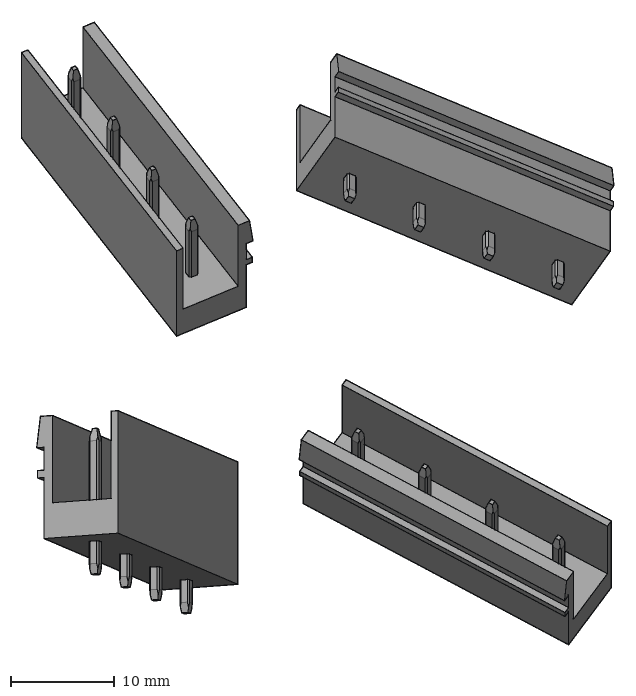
import cadquery as cq

housing_length = 30.28
housing_height = 12.02
housing_depth = 7.75
floor_thickness = 3.45
front_wall = 0.73
back_wall = 0.9

latch_bottom = 8.95
latch_reach = 0.75
latch_top_reach = 0.35

rib_bottom = 6.0
rib_thickness = 0.73
rib_reach = 0.67

pin_count = 4
pin_pitch = 7.63
first_pin_offset = 3.6
pin_y = 3.85
pin_width = 1.03
pin_edge_chamfer = 0.18
pin_top = 11.1
pin_bottom = -3.18
top_taper_length = 1.27
top_tip_width = 0.45
bottom_taper_length = 0.97
bottom_tip_width = 0.67

pin_length = pin_top - pin_bottom
first_pin_x = -housing_length / 2 + first_pin_offset
pin_places = [(first_pin_x + i * pin_pitch, pin_y) for i in range(pin_count)]


def make_bar(bottom, length):
    """Square bar with chamfered long edges, centred on the Z axis."""
    return (
        cq.Workplane("XY", origin=(0, 0, bottom))
        .rect(pin_width, pin_width)
        .extrude(length)
        .edges("|Z")
        .chamfer(pin_edge_chamfer)
    )


def make_tapered_envelope():
    """Square bar with a truncated pyramid at each end."""
    return (
        cq.Workplane("XY", origin=(0, 0, pin_bottom))
        .rect(bottom_tip_width, bottom_tip_width)
        .workplane(offset=bottom_taper_length)
        .rect(pin_width, pin_width)
        .workplane(offset=pin_length - bottom_taper_length - top_taper_length)
        .rect(pin_width, pin_width)
        .workplane(offset=top_taper_length)
        .rect(top_tip_width, top_tip_width)
        .loft(ruled=True)
    )


def make_pin(place):
    """One contact pin: the chamfered bar trimmed to tapered ends."""
    pin = make_bar(pin_bottom, pin_length).intersect(make_tapered_envelope())
    return pin.translate((*place, 0))


def make_housing():
    """Channel with latch and rib on its back wall and a fitted hole for each pin."""
    rib_top = rib_bottom + rib_thickness
    channel_back = housing_depth - back_wall
    profile = [
        (0, 0),
        (housing_depth, 0),
        (housing_depth, rib_bottom),
        (housing_depth + rib_reach, rib_bottom),
        (housing_depth + rib_reach, rib_top),
        (housing_depth, rib_top),
        (housing_depth, latch_bottom),
        (housing_depth + latch_reach, latch_bottom),
        (housing_depth + latch_top_reach, housing_height),
        (channel_back, housing_height),
        (channel_back, floor_thickness),
        (front_wall, floor_thickness),
        (front_wall, housing_height),
        (0, housing_height),
    ]
    housing = (
        cq.Workplane("YZ", origin=(-housing_length / 2, 0, 0))
        .polyline(profile)
        .close()
        .extrude(housing_length)
    )
    pin_hole = make_bar(0, floor_thickness)
    for place in pin_places:
        housing = housing.cut(pin_hole.translate((*place, 0)))
    return housing


housing = make_housing()
pins = [make_pin(place) for place in pin_places]

result = cq.Compound.makeCompound([housing.solids().val(), *[pin.solids().val() for pin in pins]])